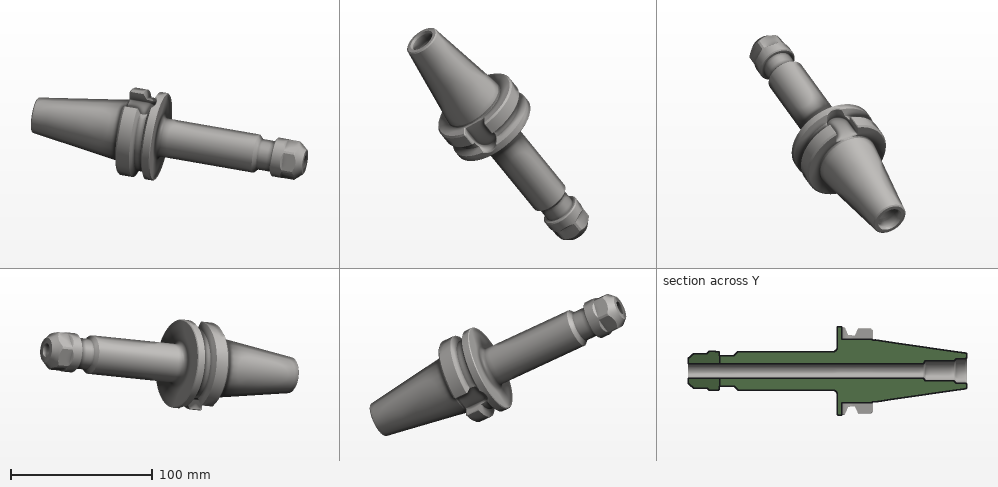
import cadquery as cq

taper_small_radius = 12.7
taper_large_radius = 22.2
taper_length = 65.1
taper_end_chamfer = 0.8

taper_neck_radius = 22.0
taper_neck_start_x = 65.7
taper_neck_fillet = 0.4
flange_back_x = 67.0

flange_radius = 31.5
flange_front_x = 92.3
flange_back_chamfer = 1.2
flange_front_chamfer = 0.5
groove_radius = 26.5
groove_back_x = 77.2
groove_floor_start_x = 79.5
groove_floor_end_x = 84.3
groove_front_x = 86.7

keyway_width = 16.2
keyway_floor_height = 22.5
keyway_end_x = 88.7
keyway_floor_fillet = 0.5
keyway_edge_chamfer = 0.5
keyway_angles = (0, 180)

extension_radius = 13.76
extension_root_fillet = 3.0
extension_end_x = 165.3
nut_neck_radius = 10.99
extension_chamfer = extension_radius - nut_neck_radius

mouth_radius = 9.3
counterbore_radius = 8.41
thread_bore_radius = 7.0
through_bore_radius = 4.85
counterbore_depth = 8.0
thread_bore_depth = 29.7
mouth_chamfer = 1.5
thread_chamfer = counterbore_radius - thread_bore_radius
drill_point_length = 1.2

nut_back_x = 175.6
nut_front_x = 198.0
nut_radius = 13.95
nut_back_chamfer = 0.8
nose_start_x = 192.0
nose_rim_fillet = 0.8
nose_tip_radius = 8.81
flat_count = 6
flat_distance = 12.5
flat_start_x = 184.3
flat_runout = nut_radius - flat_distance


def revolve_about_axis(profile):
    """Solid of revolution about X from (x, radius) points; the profile is closed along the axis."""
    first_x = profile[0][0]
    last_x = profile[-1][0]
    points = [(first_x, 0), *profile, (last_x, 0)]
    return cq.Workplane("XY").polyline(points).close().revolve(360, (0, 0, 0), (1, 0, 0))


def root_circle(x, radius):
    """Selector for the circle of the given radius about X, and nothing larger."""
    reach = radius + 0.2
    return cq.selectors.BoxSelector((x - 0.2, -reach, -reach), (x + 0.2, reach, reach), boundingbox=True)


def holder_blank():
    """Taper, flange, extension and nut neck turned as one piece."""
    taper_slope = (taper_large_radius - taper_small_radius) / taper_length
    chamfer_top_radius = taper_small_radius + taper_slope * taper_end_chamfer
    blank = revolve_about_axis([
        (0, taper_small_radius - taper_end_chamfer),
        (taper_end_chamfer, chamfer_top_radius),
        (taper_length, taper_large_radius),
        (taper_neck_start_x, taper_neck_radius),
        (flange_back_x, taper_neck_radius),
        (flange_back_x, flange_radius - flange_back_chamfer),
        (flange_back_x + flange_back_chamfer, flange_radius),
        (groove_back_x, flange_radius),
        (groove_floor_start_x, groove_radius),
        (groove_floor_end_x, groove_radius),
        (groove_front_x, flange_radius),
        (flange_front_x - flange_front_chamfer, flange_radius),
        (flange_front_x, flange_radius - flange_front_chamfer),
        (flange_front_x, extension_radius),
        (extension_end_x - extension_chamfer, extension_radius),
        (extension_end_x, nut_neck_radius),
        (nut_back_x, nut_neck_radius),
    ])
    blank = blank.edges(root_circle(flange_front_x, extension_radius)).fillet(extension_root_fillet)
    return blank.edges(root_circle(flange_back_x, taper_neck_radius)).fillet(taper_neck_fillet)


def keyway_cutter(angle):
    """Slot open to the taper side, with a round end and a filleted floor."""
    round_centre_x = keyway_end_x - keyway_width / 2
    cutter_height = flange_radius - keyway_floor_height + 2
    cutter_start_x = taper_length
    slot = (
        cq.Workplane("XY", origin=(0, 0, keyway_floor_height))
        .moveTo(cutter_start_x, -keyway_width / 2)
        .lineTo(round_centre_x, -keyway_width / 2)
        .threePointArc((keyway_end_x, 0), (round_centre_x, keyway_width / 2))
        .lineTo(cutter_start_x, keyway_width / 2)
        .close()
        .extrude(cutter_height)
    )
    slot = slot.edges("<Z").edges("not <X").fillet(keyway_floor_fillet)
    return slot.rotate((0, 0, 0), (1, 0, 0), angle)


def chamfer_keyway_edges(holder):
    """Break the keyway corners on both flange discs, leaving the V groove edges sharp."""
    half_width = keyway_width / 2
    wall_bottom = keyway_floor_height + keyway_floor_fillet
    tolerance = 0.02

    def on_rim(edge):
        box = edge.BoundingBox()
        within_slot = box.ymin > -half_width - tolerance and box.ymax < half_width + tolerance
        lowest, highest = sorted([abs(box.zmin), abs(box.zmax)])
        above_floor = lowest > wall_bottom - tolerance and highest > wall_bottom + tolerance
        on_back_disc = box.xmin > flange_back_x - tolerance and box.xmax < groove_back_x + tolerance
        on_front_disc = box.xmin > groove_front_x - tolerance and box.xmax < keyway_end_x + tolerance
        return within_slot and above_floor and (on_back_disc or on_front_disc)

    return holder.edges().filter(on_rim).chamfer(keyway_edge_chamfer)


def bore_cutter():
    """Chamfered mouth, counterbore, thread bore and through bore."""
    return revolve_about_axis([
        (0, mouth_radius),
        (mouth_chamfer, counterbore_radius),
        (counterbore_depth, counterbore_radius),
        (counterbore_depth + thread_chamfer, thread_bore_radius),
        (thread_bore_depth, thread_bore_radius),
        (thread_bore_depth + drill_point_length, through_bore_radius),
        (nut_front_x, through_bore_radius),
    ])


def make_holder():
    holder = holder_blank()
    for angle in keyway_angles:
        holder = holder.cut(keyway_cutter(angle))
    holder = chamfer_keyway_edges(holder)
    return holder.cut(bore_cutter())


def flat_cutter(angle):
    """Block that mills one wrench flat, with a 45 degree runout at its back end."""
    cutter_top = nut_radius + 2
    block = (
        cq.Workplane("XZ")
        .moveTo(flat_start_x, flat_distance)
        .lineTo(flat_start_x - flat_runout, nut_radius)
        .lineTo(flat_start_x - flat_runout, cutter_top)
        .lineTo(nut_front_x, cutter_top)
        .lineTo(nut_front_x, flat_distance)
        .close()
        .extrude(nut_radius, both=True)
    )
    return block.rotate((0, 0, 0), (1, 0, 0), angle)


def make_nut():
    nut = revolve_about_axis([
        (nut_back_x, nut_radius - nut_back_chamfer),
        (nut_back_x + nut_back_chamfer, nut_radius),
        (nose_start_x, nut_radius),
        (nut_front_x, nose_tip_radius),
    ])
    nut = nut.edges(root_circle(nose_start_x, nut_radius)).fillet(nose_rim_fillet)
    for index in range(flat_count):
        nut = nut.cut(flat_cutter(index * 360 / flat_count))
    return nut.cut(bore_cutter())


holder = make_holder()
nut = make_nut()

result = cq.Compound.makeCompound([holder.val(), nut.val()])